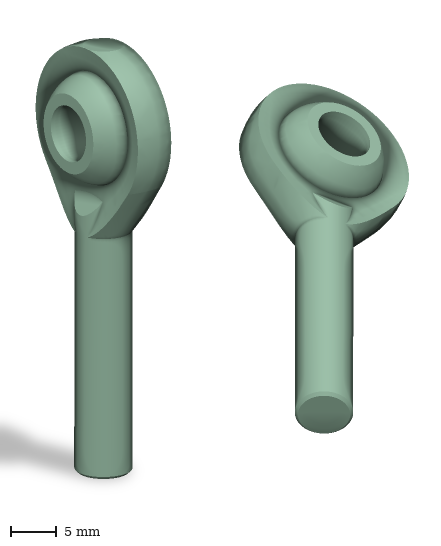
import cadquery as cq
import math

total_height = 48.95
eye_z = 39.7

shank_radius = 3.2
shank_top_z = 27.7
end_chamfer = 0.35
ramp_start_z = 30.0
ramp_slope = 1.64

head_radius = 9.515
face_edge_half_width = 2.275
dish_slope = 0.26

ball_radius = 6.55
ball_width = 9.55
bore_diameter = 2 * shank_radius


def make_head_blank():
    """Sphere with a small flat crown and a tangent conical neck, turned about Z."""
    neck_drop = eye_z - shank_top_z
    neck_distance = math.hypot(shank_radius, neck_drop)
    tangent_angle = math.atan2(-neck_drop, shank_radius) + math.acos(head_radius / neck_distance)
    crown_height = total_height - eye_z
    crown_radius = math.sqrt(head_radius**2 - crown_height**2)
    profile = (
        cq.Workplane("XZ")
        .moveTo(0, shank_top_z)
        .lineTo(shank_radius, shank_top_z)
        .lineTo(head_radius * math.cos(tangent_angle), eye_z + head_radius * math.sin(tangent_angle))
        .threePointArc((head_radius, eye_z), (crown_radius, total_height))
        .lineTo(0, total_height)
        .close()
    )
    return profile.revolve(360, (0, 0, 0), (0, 1, 0))


def make_dish_envelope():
    """Disc about the eye axis whose two faces are shallow conical dishes."""
    rim_radius = math.sqrt(head_radius**2 - face_edge_half_width**2)
    centre_half_width = face_edge_half_width - dish_slope * rim_radius
    waist_radius = ball_radius / 2
    waist_half_width = centre_half_width + dish_slope * waist_radius
    outer_radius = 2 * head_radius
    outer_half_width = centre_half_width + dish_slope * outer_radius
    profile = cq.Workplane("XY").polyline([
        (0, -waist_half_width),
        (waist_radius, -waist_half_width),
        (outer_radius, -outer_half_width),
        (outer_radius, outer_half_width),
        (waist_radius, waist_half_width),
        (0, waist_half_width),
    ]).close()
    return profile.revolve(360, (0, 0, 0), (0, 1, 0)).translate((0, 0, eye_z))


def make_shank():
    """Round rod whose top tapers to a wedge between two sloping flats."""
    wedge_tip_z = ramp_start_z + ramp_slope * shank_radius
    rod = cq.Workplane("XY").circle(shank_radius).extrude(wedge_tip_z)
    rod = rod.faces("<Z").chamfer(end_chamfer)
    wedge = (
        cq.Workplane("YZ")
        .polyline([
            (-shank_radius, 0),
            (shank_radius, 0),
            (shank_radius, ramp_start_z),
            (0, wedge_tip_z),
            (-shank_radius, ramp_start_z),
        ])
        .close()
        .extrude(shank_radius, both=True)
    )
    return rod.intersect(wedge)


def make_ball():
    """Sphere trimmed flat on both sides along the eye axis."""
    width_limit = cq.Workplane("XY").box(2 * head_radius, ball_width, 2 * head_radius)
    return cq.Workplane("XY").sphere(ball_radius).intersect(width_limit).translate((0, 0, eye_z))


bore = (
    cq.Workplane("XZ", origin=(0, 0, eye_z))
    .circle(bore_diameter / 2)
    .extrude(ball_width, both=True)
)

head = make_head_blank().intersect(make_dish_envelope())
result = head.union(make_shank()).union(make_ball()).cut(bore)